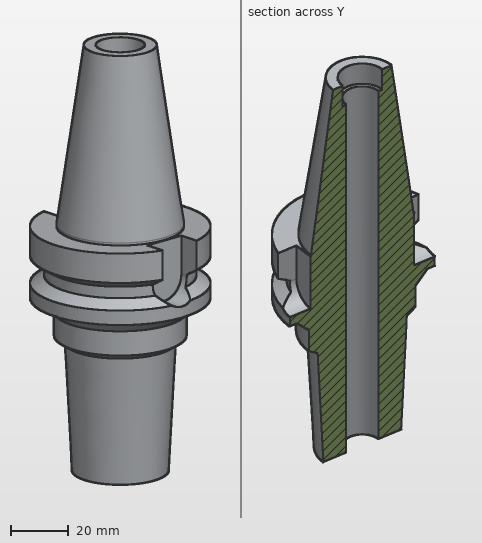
import cadquery as cq

total_height = 155.4

shank_top_radius = 12.7
gauge_radius = 22.2
gauge_neck_height = 1.0

flange_top = 89.2
flange_diameter = 63.0
flange_radius = flange_diameter / 2
upper_band_height = 10.7
groove_floor_start = 13.7
groove_floor_end = 17.9
groove_end = 20.8
flange_height = 26.1
groove_radius = 26.5
flange_underside_radius = 28.3

collar_radius = 23.2
collar_start = 31.1
collar_end = 40.0
nose_start = 42.3
nose_top_radius = 19.5
nose_bottom_radius = 17.0

bore_radius = 7.0
counterbore_radius = 8.5
counterbore_depth = 8.5

slot_width = 16.2
slot_depth = 22.0
slot_floor_offset = 22.5


def below_flange_top(depth):
    return flange_top - depth


def make_body():
    """Revolve the half profile around the Z axis."""
    profile = [
        (0, 0),
        (nose_bottom_radius, 0),
        (nose_top_radius, below_flange_top(nose_start)),
        (collar_radius, below_flange_top(collar_end)),
        (collar_radius, below_flange_top(collar_start)),
        (flange_underside_radius, below_flange_top(flange_height)),
        (flange_radius, below_flange_top(flange_height)),
        (flange_radius, below_flange_top(groove_end)),
        (groove_radius, below_flange_top(groove_floor_end)),
        (groove_radius, below_flange_top(groove_floor_start)),
        (flange_radius, below_flange_top(upper_band_height)),
        (flange_radius, flange_top),
        (gauge_radius, flange_top),
        (gauge_radius, flange_top + gauge_neck_height),
        (shank_top_radius, total_height),
        (0, total_height),
    ]
    return cq.Workplane("XZ").polyline(profile).close().revolve(360, (0, 0, 0), (0, 1, 0))


def make_bore():
    """Through bore, widened at the small end of the shank."""
    through = cq.Workplane("XY").circle(bore_radius).extrude(total_height)
    counterbore = (
        cq.Workplane("XY", origin=(0, 0, total_height))
        .circle(counterbore_radius)
        .extrude(-counterbore_depth)
    )
    return through.union(counterbore)


def make_drive_slot(side):
    """Round-ended slot with a flat floor, open at the flange top; side is +1 or -1."""
    end_radius = slot_width / 2
    arc_start = below_flange_top(slot_depth - end_radius)
    return (
        cq.Workplane("YZ", origin=(side * slot_floor_offset, 0, 0))
        .moveTo(-end_radius, flange_top)
        .lineTo(-end_radius, arc_start)
        .threePointArc((0, below_flange_top(slot_depth)), (end_radius, arc_start))
        .lineTo(end_radius, flange_top)
        .close()
        .extrude(side * flange_radius)
    )


result = make_body().cut(make_bore())
for side in (-1, 1):
    result = result.cut(make_drive_slot(side))